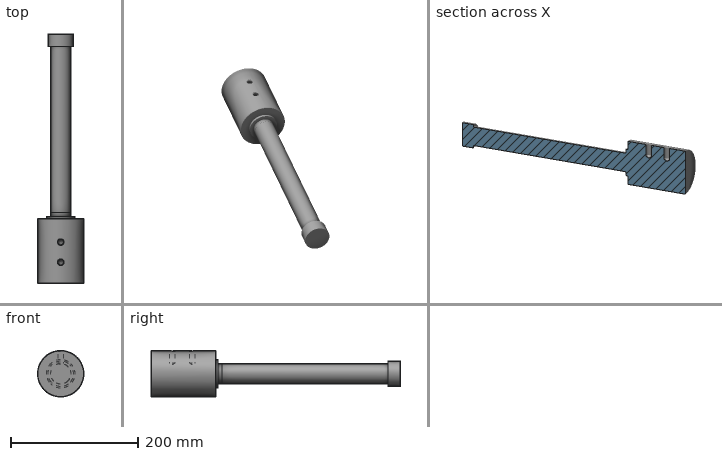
import cadquery as cq
import math

total_length = 392.0
head_diameter = 73.0
head_length = 102.0
head_chamfer = 0.5
collar_diameter = 44.5
collar_length = 3.5
neck_diameter = 32.0
neck_length = 6.0
rod_diameter = 31.8
cap_diameter = 40.0
cap_length = 20.0

hole_diameter = 8.5
hole_mouth_diameter = 10.0
hole_depth = 19.5
hole_point_depth = 2.7
first_hole_y = 33.5
hole_spacing = 31.8
hole_count = 2


def cylinder_along_y(diameter, start, end):
    """Cylinder on the Y axis between two Y positions."""
    return cq.Workplane("XZ", origin=(0, start, 0)).circle(diameter / 2).extrude(start - end)


def drill_tool(y):
    """Drill pointing down, starting at the top of the head."""
    radius = hole_diameter / 2
    head_top = head_diameter / 2
    mouth_radius = hole_mouth_diameter / 2
    mouth_level = math.sqrt(head_top**2 - mouth_radius**2)
    countersink_depth = mouth_radius - radius
    floor = head_top - hole_depth
    return (
        cq.Workplane("XZ", origin=(0, y, 0))
        .moveTo(0, head_top)
        .lineTo(mouth_radius, head_top)
        .lineTo(mouth_radius, mouth_level)
        .lineTo(radius, mouth_level - countersink_depth)
        .lineTo(radius, floor)
        .lineTo(0, floor - hole_point_depth)
        .close()
        .revolve(360, (0, 0, 0), (0, 1, 0))
    )


collar_end = head_length + collar_length
neck_end = collar_end + neck_length
cap_start = total_length - cap_length

head = cylinder_along_y(head_diameter, 0, head_length).faces("<Y or >Y").chamfer(head_chamfer)
collar = cylinder_along_y(collar_diameter, head_length, collar_end)
neck = cylinder_along_y(neck_diameter, collar_end, neck_end)
rod = cylinder_along_y(rod_diameter, neck_end, cap_start)
cap = cylinder_along_y(cap_diameter, cap_start, total_length)

result = head.union(collar).union(neck).union(rod).union(cap)
for index in range(hole_count):
    result = result.cut(drill_tool(first_hole_y + index * hole_spacing))